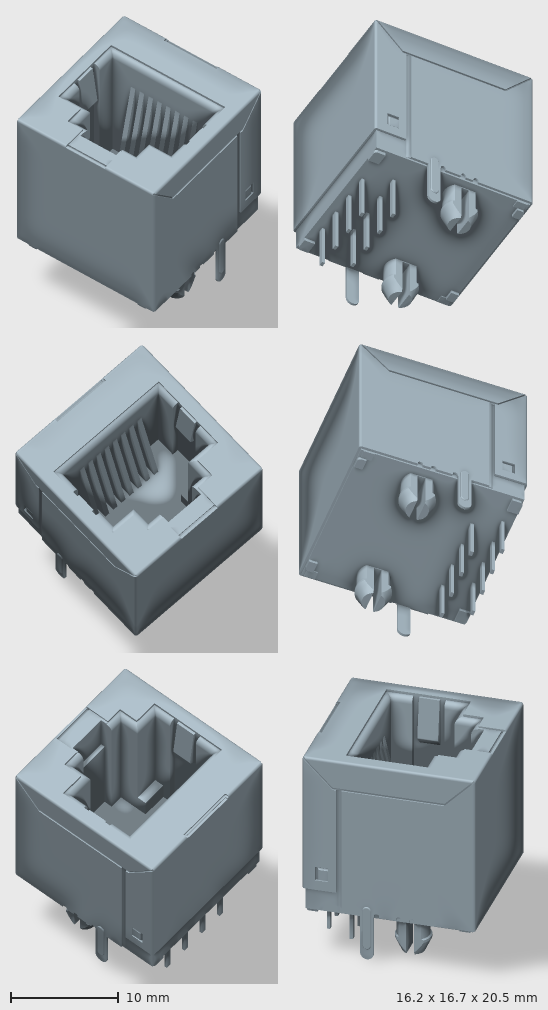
import cadquery as cq


WIDTH = 16.0
DEPTH = 16.7
TOP_Z = 20.5
SHIELD_BOTTOM_Z = 4.53
HOUSING_BOTTOM_Z = 4.35
SHIELD_THICKNESS = 0.25
SIDE_X = WIDTH / 2
FRONT_Y = -DEPTH / 2
BACK_Y = DEPTH / 2
HOUSING_X = SIDE_X - SHIELD_THICKNESS
HOUSING_Y = BACK_Y - SHIELD_THICKNESS

SEAM_DEPTH = 0.16
SEAM_WIDTH = 0.25
TOP_FLAP_DROP = 3.05
FLAP_BOTTOM_Z = 6.58
FLAP_EDGE_Y = 5.08
SIDE_PANEL_EDGE_Y = 4.55
STEP_TOP_Y = 4.75
STEP_FOOT_Y = 4.98

WINDOW_Y = 6.45
WINDOW_Z = 8.3
WINDOW_WIDTH = 1.25
WINDOW_HEIGHT = 1.41
LATCH_GAP = 0.16
LATCH_BOTTOM_GAP = 0.08
LATCH_HEIGHT = 0.18
LATCH_CHAMFER = 0.15

NOTCH_CENTERS_Y = (1.15, -0.98, -2.3)
NOTCH_WIDTH = 0.51
NOTCH_HEIGHT = 0.39

LIP_INSET = 0.64
LIP_RADIUS = 0.62
LIP_TOP_Z = TOP_Z - SHIELD_THICKNESS
PLUG_X = 6.6
PLUG_BACK_Y = 4.53
PLUG_FRONT_Y = -3.65
STEP_X = 4.04
STEP_FRONT_Y = -5.65
CAVITY_FLOOR_Z = 7.38
LEDGE_Z = 9.22
LEDGE_BACK_Y = -2.05

KEY_HALF_WIDTH = 2.05
KEY_FRONT_Y = -6.3
KEY_LEDGE_Y = -5.86
KEY_LEDGE_Z = 16.4
TAB_HALF_WIDTH = 2.28
TAB_DROP = 0.16
TAB_FRONT_Y = -7.9
TAB_GAP_DEPTH = 0.33

BACK_NOTCH_WIDTH = 6.05
BACK_NOTCH_DEPTH = 0.43
BACK_STEP_WIDTH = 5.62
BACK_STEP_DROP = 0.27

CHANNEL_BACK_Y = 1.89
CHANNEL_FRONT_Y = -1.25
SPRING_BACK_Y = 1.31
SPRING_FRONT_Y = -0.7
SPRING_TOP_X = 6.33
SPRING_TIP_X = 5.78
SPRING_TIP_Z = 16.2
SPRING_FOOT_Z = 15.38
SPRING_BEND = 0.16

CONTACT_COUNT = 8
WIRE_PITCH = 1.02
WIRE_WIDTH = 0.51
WIRE_TOP_Z = 17.15
WIRE_END_Y = 1.55
PIN_PITCH = 1.27
PIN_WIDTH = 0.51
PIN_THICKNESS = 0.3
PIN_ROWS_Y = (4.57, 7.15)

GROUND_PIN_Y = 2.1
GROUND_PIN_WIDTH = 1.3
RIB_WIDTH = 0.82
RIB_BOTTOM_Z = 1.07
RIB_TOP_Z = 5.55
RIB_HEIGHT = 0.1
RIB_CHAMFER = 0.08

POST_X = 5.7
POST_Y = -1.76
POST_RADIUS = 1.58
POST_WIDTH = 2.32
POST_SLIT = 0.78
SLIT_TOP_Z = 4.25
BARB_RADIUS = 1.75
BARB_TOP_Z = 2.3
BARB_SHOULDER_Z = 2.2
BARB_BOTTOM_Z = 1.93
POST_TIP_RADIUS = 1.09
POST_TIP_Z = 0.51

FOOT_BOTTOM_Z = 4.02
FOOT_FILLET = 0.3
BACK_FOOT_X = (-7.5, -6.15)
BACK_FOOT_Y = (7.0, HOUSING_Y)
FRONT_FOOT_X = (-6.93, -5.85)
FRONT_FOOT_Y = (-8.08, -7.25)
PAD_BOTTOM_Z = 4.25
PAD_X = (-HOUSING_X, -6.93)
PAD_Y = (-7.85, -6.79)


def block(x_range, y_range, z_range):
    """Axis-aligned block between pairs of limits."""
    lows, highs = zip(*(sorted(limits) for limits in (x_range, y_range, z_range)))
    sizes = [high - low for low, high in zip(lows, highs)]
    return cq.Workplane("XY").box(*sizes, centered=False).translate(lows)


def both_sides(shape):
    """The shape together with its mirror image across X = 0."""
    return shape.union(shape.mirror("YZ"))


def side_prism(points, x_start, x_end):
    """Outline in Y and Z, extruded along X."""
    return (
        cq.Workplane("YZ").workplane(offset=x_start)
        .polyline(points).close().extrude(x_end - x_start)
    )


def make_body():
    shield = (
        cq.Workplane("XY").workplane(offset=SHIELD_BOTTOM_Z)
        .rect(WIDTH, DEPTH).extrude(TOP_Z - SHIELD_BOTTOM_Z)
        .edges("|Z or >Z").fillet(SHIELD_THICKNESS)
    )
    housing_base = block(
        (-HOUSING_X, HOUSING_X), (-HOUSING_Y, HOUSING_Y),
        (HOUSING_BOTTOM_Z, SHIELD_BOTTOM_Z + SHIELD_THICKNESS),
    )
    return shield.union(housing_base)


def top_flap(drop):
    """Trapezoid folded down from the top, with 45 degree ends."""
    half_top = BACK_Y + SEAM_WIDTH / 2 - (TOP_FLAP_DROP - drop)
    half_bottom = half_top - drop
    points = [
        (-half_top, TOP_Z), (half_top, TOP_Z),
        (half_bottom, TOP_Z - drop), (-half_bottom, TOP_Z - drop),
    ]
    return side_prism(points, -SIDE_X, -SIDE_X + SEAM_DEPTH)


def make_panel_seams():
    flap_seam = top_flap(TOP_FLAP_DROP).cut(top_flap(TOP_FLAP_DROP - SEAM_WIDTH))

    def stepped_cut(end_y, top_z):
        points = [
            (-SIDE_X, SIDE_PANEL_EDGE_Y),
            (-SIDE_X + SEAM_DEPTH, SIDE_PANEL_EDGE_Y),
            (-SIDE_X + SEAM_DEPTH, STEP_TOP_Y),
            (-HOUSING_X, STEP_FOOT_Y),
            (-HOUSING_X, end_y),
            (-SIDE_X, end_y),
        ]
        return (
            cq.Workplane("XY").workplane(offset=SHIELD_BOTTOM_Z)
            .polyline(points).close().extrude(top_z - SHIELD_BOTTOM_Z)
        )

    flap_gap = stepped_cut(FLAP_EDGE_Y, TOP_Z - TOP_FLAP_DROP)
    below_flap = stepped_cut(BACK_Y, FLAP_BOTTOM_Z)
    return both_sides(flap_seam.union(flap_gap).union(below_flap))


def make_back_recess():
    """Below the back panel only the housing remains."""
    return block((-SIDE_X, SIDE_X), (HOUSING_Y, BACK_Y), (SHIELD_BOTTOM_Z, FLAP_BOTTOM_Z))


def make_latch_window():
    window = (
        cq.Workplane("YZ").workplane(offset=-SIDE_X).center(WINDOW_Y, WINDOW_Z)
        .rect(WINDOW_WIDTH, WINDOW_HEIGHT).extrude(SHIELD_THICKNESS)
    )
    latch = block(
        (-HOUSING_X - LATCH_HEIGHT, -HOUSING_X),
        (WINDOW_Y - WINDOW_WIDTH / 2, WINDOW_Y + WINDOW_WIDTH / 2 - LATCH_GAP),
        (WINDOW_Z - WINDOW_HEIGHT / 2 + LATCH_BOTTOM_GAP, WINDOW_Z + WINDOW_HEIGHT / 2 - LATCH_GAP),
    )
    latch = latch.faces("<X").edges(">Y or >Z").chamfer(LATCH_CHAMFER)
    return both_sides(window.cut(latch))


def make_bottom_notches():
    radius = NOTCH_WIDTH / 2
    straight = NOTCH_HEIGHT - radius
    notches = (
        cq.Workplane("YZ").workplane(offset=-SIDE_X)
        .pushPoints([(y, SHIELD_BOTTOM_Z + straight) for y in NOTCH_CENTERS_Y])
        .circle(radius).extrude(SHIELD_THICKNESS)
    )
    for y in NOTCH_CENTERS_Y:
        notches = notches.union(block(
            (-SIDE_X, -HOUSING_X), (y - radius, y + radius),
            (SHIELD_BOTTOM_Z, SHIELD_BOTTOM_Z + straight),
        ))
    return both_sides(notches)


def plug_prism(inset, z_bottom, z_top):
    """Stepped plug outline, moved inward by the inset."""
    wide_x = PLUG_X - inset
    narrow_x = STEP_X - inset
    back_y = PLUG_BACK_Y - inset
    shoulder_y = PLUG_FRONT_Y + inset
    front_y = STEP_FRONT_Y + inset
    wide = block((-wide_x, wide_x), (shoulder_y, back_y), (z_bottom, z_top))
    narrow = block((-narrow_x, narrow_x), (front_y, shoulder_y), (z_bottom, z_top))
    return wide.union(narrow)


def make_plug_cavity():
    lip_bottom_z = LIP_TOP_Z - LIP_INSET
    shield_opening = plug_prism(0, LIP_TOP_Z, TOP_Z)
    rounded_lip = (
        block((-HOUSING_X, HOUSING_X), (-HOUSING_Y, HOUSING_Y), (lip_bottom_z, LIP_TOP_Z))
        .cut(plug_prism(LIP_INSET, lip_bottom_z, LIP_TOP_Z))
        .faces(">Z").wires(cq.selectors.AreaNthSelector(0)).edges().fillet(LIP_RADIUS)
    )
    flare = plug_prism(0, lip_bottom_z, LIP_TOP_Z).cut(rounded_lip)
    plug_space = plug_prism(LIP_INSET, CAVITY_FLOOR_Z, TOP_Z)
    ledge = block(
        (-PLUG_X, -STEP_X + LIP_INSET), (PLUG_FRONT_Y, LEDGE_BACK_Y), (CAVITY_FLOOR_Z, LEDGE_Z))
    return shield_opening.union(flare).union(plug_space.cut(both_sides(ledge)))


def make_key_slot():
    upper = block(
        (-KEY_HALF_WIDTH, KEY_HALF_WIDTH), (KEY_FRONT_Y, PLUG_FRONT_Y), (KEY_LEDGE_Z, TOP_Z))
    lower = block(
        (-KEY_HALF_WIDTH, KEY_HALF_WIDTH), (KEY_LEDGE_Y, PLUG_FRONT_Y), (CAVITY_FLOOR_Z, TOP_Z))
    tab_recess = block(
        (-TAB_HALF_WIDTH, TAB_HALF_WIDTH), (FRONT_Y, STEP_FRONT_Y), (TOP_Z - TAB_DROP, TOP_Z))
    tab_gap = block(
        (-TAB_HALF_WIDTH, TAB_HALF_WIDTH), (-HOUSING_Y, TAB_FRONT_Y), (TOP_Z - TAB_GAP_DEPTH, TOP_Z))
    return upper.union(lower).union(tab_recess).union(tab_gap)


def make_spring_channels():
    channel = block(
        (-PLUG_X, -PLUG_X + LIP_INSET), (CHANNEL_FRONT_Y, CHANNEL_BACK_Y), (CAVITY_FLOOR_Z, TOP_Z))
    return both_sides(channel)


def make_back_notch():
    half_notch = BACK_NOTCH_WIDTH / 2
    half_step = BACK_STEP_WIDTH / 2
    notch = block(
        (-half_notch, half_notch), (BACK_Y - BACK_NOTCH_DEPTH, BACK_Y), (TOP_Z - TAB_DROP, TOP_Z))
    step = block((-half_step, half_step), (HOUSING_Y, BACK_Y), (TOP_Z - BACK_STEP_DROP, TOP_Z))
    return notch.union(step)


def make_ground_springs():
    spring = (
        cq.Workplane("XZ").workplane(offset=-SPRING_BACK_Y)
        .polyline([
            (-HOUSING_X, LIP_TOP_Z), (-SPRING_TOP_X, LIP_TOP_Z),
            (-SPRING_TIP_X, SPRING_TIP_Z), (-PLUG_X, SPRING_FOOT_Z), (-HOUSING_X, SPRING_FOOT_Z),
        ])
        .close().extrude(SPRING_BACK_Y - SPRING_FRONT_Y)
        .edges("|Y and >X").fillet(SPRING_BEND)
    )
    return both_sides(spring)


def make_contact_wires():
    """Wedges sloping from the back wall of the cavity down to its floor."""
    wall_y = PLUG_BACK_Y - LIP_INSET
    wires = cq.Workplane("XY")
    for index in range(CONTACT_COUNT):
        center_x = (index - (CONTACT_COUNT - 1) / 2) * WIRE_PITCH
        points = [(wall_y, WIRE_TOP_Z), (wall_y, CAVITY_FLOOR_Z), (WIRE_END_Y, CAVITY_FLOOR_Z)]
        wires = wires.union(side_prism(points, center_x - WIRE_WIDTH / 2, center_x + WIRE_WIDTH / 2))
    return wires


def make_solder_pins():
    """Pins alternate between the two rows."""
    pins = cq.Workplane("XY")
    for index in range(CONTACT_COUNT):
        center_x = (index - (CONTACT_COUNT - 1) / 2) * PIN_PITCH
        row_y = PIN_ROWS_Y[index % 2]
        pins = pins.union(block(
            (center_x - PIN_WIDTH / 2, center_x + PIN_WIDTH / 2),
            (row_y - PIN_THICKNESS / 2, row_y + PIN_THICKNESS / 2),
            (0, SHIELD_BOTTOM_Z),
        ))
    return pins


def make_ground_pins():
    radius = GROUND_PIN_WIDTH / 2
    blade = (
        cq.Workplane("YZ").workplane(offset=-SIDE_X)
        .moveTo(GROUND_PIN_Y - radius, SHIELD_BOTTOM_Z + SHIELD_THICKNESS)
        .lineTo(GROUND_PIN_Y - radius, radius)
        .threePointArc((GROUND_PIN_Y, 0), (GROUND_PIN_Y + radius, radius))
        .lineTo(GROUND_PIN_Y + radius, SHIELD_BOTTOM_Z + SHIELD_THICKNESS)
        .close().extrude(SHIELD_THICKNESS)
    )
    rib = (
        cq.Workplane("YZ").workplane(offset=-SIDE_X)
        .center(GROUND_PIN_Y, (RIB_TOP_Z + RIB_BOTTOM_Z) / 2)
        .slot2D(RIB_TOP_Z - RIB_BOTTOM_Z, RIB_WIDTH, 90).extrude(-RIB_HEIGHT)
        .faces("<X").edges().chamfer(RIB_CHAMFER)
    )
    return both_sides(blade.union(rib))


def make_snap_posts():
    """Round posts with a conical barb, flattened in X and split along Y."""
    post = (
        cq.Workplane("XZ")
        .polyline([
            (0, SHIELD_BOTTOM_Z), (POST_RADIUS, SHIELD_BOTTOM_Z), (POST_RADIUS, BARB_TOP_Z),
            (BARB_RADIUS, BARB_SHOULDER_Z), (BARB_RADIUS, BARB_BOTTOM_Z),
            (POST_TIP_RADIUS, POST_TIP_Z), (0, POST_TIP_Z),
        ])
        .close().revolve(360, (0, 0), (0, 1))
    )
    half_width = POST_WIDTH / 2
    half_slit = POST_SLIT / 2
    flats = block((-half_width, half_width), (-BARB_RADIUS, BARB_RADIUS), (0, SHIELD_BOTTOM_Z))
    slit = block((-half_width, half_width), (-half_slit, half_slit), (0, SLIT_TOP_Z))
    return both_sides(post.intersect(flats).cut(slit).translate((-POST_X, POST_Y, 0)))


def make_feet():
    z_range = (FOOT_BOTTOM_Z, SHIELD_BOTTOM_Z)
    back_foot = block(BACK_FOOT_X, BACK_FOOT_Y, z_range).edges("|Z and <X and >Y").fillet(FOOT_FILLET)
    front_foot = block(FRONT_FOOT_X, FRONT_FOOT_Y, z_range).edges("|Z and <X and <Y").fillet(FOOT_FILLET)
    pad = block(PAD_X, PAD_Y, (PAD_BOTTOM_Z, SHIELD_BOTTOM_Z))
    return both_sides(back_foot.union(front_foot).union(pad))


cuts = [
    make_panel_seams(), make_back_recess(), make_latch_window(), make_bottom_notches(),
    make_plug_cavity(), make_key_slot(), make_spring_channels(), make_back_notch(),
]
additions = [
    make_ground_springs(), make_contact_wires(), make_solder_pins(),
    make_ground_pins(), make_snap_posts(), make_feet(),
]

result = make_body()
for cut in cuts:
    result = result.cut(cut)
for addition in additions:
    result = result.union(addition)